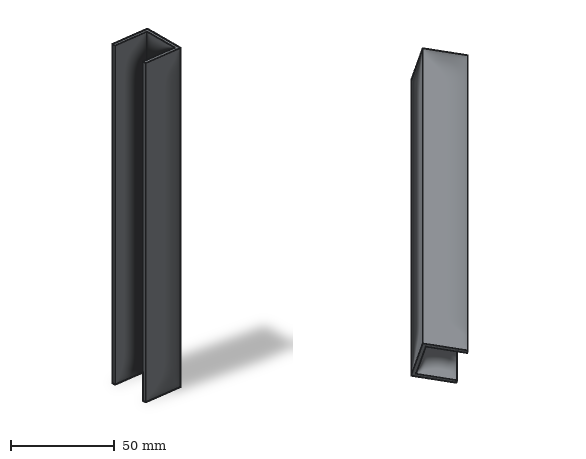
import cadquery as cq

width = 24.4
length = 189.0
groove_width = 20.5
groove_depth = 20.5

wall = (width - groove_width) / 2
depth = groove_depth + wall

channel = cq.Workplane("XY").box(width, depth, length)

groove = (
    cq.Workplane("XY")
    .box(groove_width, groove_depth, length)
    .translate((0, -wall / 2, 0))
)

result = channel.cut(groove)